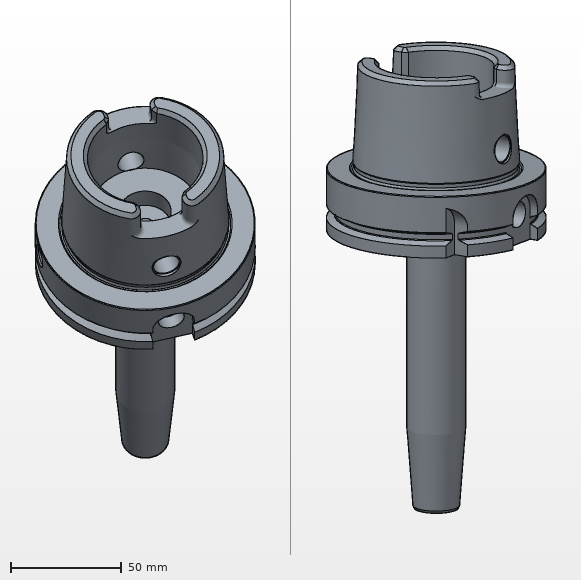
import cadquery as cq
import math


shank_height = 50.0
taper_per_side = 1 / 20
shank_base_radius = 38.0
relief_top = 3.0
relief_radius = 37.4
relief_depth = 0.6
relief_outer_radius = 39.5
shank_top_radius = shank_base_radius - taper_per_side * (shank_height - relief_top)

flange_radius = 50.0
flange_height = 29.0
flange_edge = 0.5
groove_radius = 46.0
groove_top = -17.0
groove_bottom = -23.3
groove_side_rise = 1.5
groove_corner = 0.5

neck_fillet = 10.0
stem_radius = 13.5
nose_top = -122.2
nose_radius = 10.7
nose_chamfer_width = 0.6
nose_chamfer_height = 1.3
overall_length = 210
stem_end = shank_height - overall_length

bore_radius = 26.2
bore_floor_radius = 25.0
bore_straight_depth = 20.5
bore_floor = 8.8
socket_radius = 11.8
socket_depth = 10.5
coolant_radius = 4.2
drill_half_angle = 59

slot_half_width = 10.0
shallow_slot_depth = 9.9
deep_slot_depth = 14.7
slot_floor_fillet = 1.9
key_corner_fillet = 4.2
key_edge = 1.9

cross_hole_radius = 6.0
cross_mouth_radius = 6.7
cross_mouth_floor = 36.3
cross_hole_height = 14.5

rim_slot_radius = 9.9
rim_slot_center = -15.1
rim_slot_floor = 45.0
rim_hole_radius = 6.0
rim_hole_depth = 6.3
notch_floor = 31.7
notch_center_y = 41.4

chip_radius = 4.6
chip_mouth_radius = 5.5
chip_height = -7.1
chip_floor = 45.3


def cone_height(radius):
    """Height of a drill point of the given radius."""
    return radius / math.tan(math.radians(drill_half_angle))


def make_body():
    """Shank, flange and stem as one turned solid."""
    neck_center_radius = stem_radius + neck_fillet
    neck_bottom = -flange_height - neck_fillet
    neck_mid = neck_fillet * math.sqrt(0.5)
    profile = (
        cq.Workplane("XZ")
        .moveTo(0, shank_height)
        .lineTo(shank_top_radius, shank_height)
        .lineTo(shank_base_radius, relief_top)
        .lineTo(relief_radius, relief_top - relief_depth)
        .lineTo(relief_radius, relief_depth)
        .lineTo(relief_radius + relief_depth, -relief_depth)
        .lineTo(relief_outer_radius - relief_depth, -relief_depth)
        .lineTo(relief_outer_radius, 0)
        .lineTo(flange_radius - flange_edge, 0)
        .lineTo(flange_radius, -flange_edge)
        .lineTo(flange_radius, groove_top)
        .lineTo(groove_radius + groove_corner, groove_top - groove_side_rise)
        .lineTo(groove_radius, groove_top - groove_side_rise - groove_corner)
        .lineTo(groove_radius, groove_bottom + groove_side_rise + groove_corner)
        .lineTo(groove_radius + groove_corner, groove_bottom + groove_side_rise)
        .lineTo(flange_radius, groove_bottom)
        .lineTo(flange_radius, -flange_height)
        .lineTo(neck_center_radius, -flange_height)
        .threePointArc(
            (neck_center_radius - neck_mid, neck_bottom + neck_mid),
            (stem_radius, neck_bottom),
        )
        .lineTo(stem_radius, nose_top)
        .lineTo(nose_radius, stem_end + nose_chamfer_height)
        .lineTo(nose_radius - nose_chamfer_width, stem_end)
        .lineTo(0, stem_end)
        .close()
    )
    return profile.revolve(360, (0, 0), (0, 1))


def make_cavity():
    """Bore that narrows to its floor, with a round socket and a drill point below."""
    socket_floor = bore_floor - socket_depth
    profile = (
        cq.Workplane("XZ")
        .moveTo(0, shank_height)
        .lineTo(bore_radius, shank_height)
        .lineTo(bore_radius, shank_height - bore_straight_depth)
        .lineTo(bore_floor_radius, bore_floor)
        .lineTo(socket_radius, bore_floor)
        .lineTo(socket_radius, socket_floor)
        .lineTo(coolant_radius, socket_floor)
        .lineTo(0, socket_floor - cone_height(coolant_radius))
        .close()
    )
    return profile.revolve(360, (0, 0), (0, 1))


def make_drive_slot(side, depth):
    """Square slot through one shank wall; side is -1 or 1 along X."""
    slot = cq.Workplane("XY", origin=(side * flange_radius / 2, 0, shank_height - depth))
    return slot.box(flange_radius, 2 * slot_half_width, depth, centered=(True, True, False))


def make_cross_holes():
    """Hole through both shank walls, counterbored outside, that leaves the cavity floor whole."""
    start = cq.Workplane("YZ", origin=(-flange_radius, 0, cross_hole_height))
    hole = start.circle(cross_hole_radius).extrude(2 * flange_radius)
    mouth = start.circle(cross_mouth_radius).extrude(flange_radius - cross_mouth_floor)
    floor_plug = cq.Workplane("XY", origin=(0, 0, bore_floor)).circle(bore_floor_radius)
    return (
        hole.union(mouth)
        .union(mouth.mirror("YZ"))
        .cut(floor_plug.extrude(-cross_hole_radius))
    )


def make_rim_slot(side, floor, center_y):
    """Round-topped slot that opens downward, cut from outside to a flat floor across X."""
    length = flange_radius - floor
    start = floor if side > 0 else -flange_radius
    return (
        cq.Workplane("YZ", origin=(start, 0, 0))
        .moveTo(center_y - rim_slot_radius, -flange_height)
        .lineTo(center_y - rim_slot_radius, rim_slot_center)
        .threePointArc(
            (center_y, rim_slot_center + rim_slot_radius),
            (center_y + rim_slot_radius, rim_slot_center),
        )
        .lineTo(center_y + rim_slot_radius, -flange_height)
        .close()
        .extrude(length)
    )


def make_rim_hole(side):
    """Drilled hole in the floor of a drive slot in the rim; side is -1 or 1 along X."""
    hole_floor = rim_slot_floor - rim_hole_depth
    profile = (
        cq.Workplane("XY", origin=(0, 0, rim_slot_center))
        .moveTo(side * rim_slot_floor, 0)
        .lineTo(side * rim_slot_floor, rim_hole_radius)
        .lineTo(side * hole_floor, rim_hole_radius)
        .lineTo(side * (hole_floor - cone_height(rim_hole_radius)), 0)
        .close()
    )
    return profile.revolve(360, (0, 0), (1, 0))


def make_chip_pocket():
    """Flat-bottomed round pocket with a slightly wider mouth."""
    pocket = cq.Workplane("XZ", origin=(0, -chip_floor, chip_height)).circle(chip_radius)
    mouth_width = chip_mouth_radius - chip_radius
    mouth = cq.Solid.makeCone(
        chip_mouth_radius,
        chip_radius,
        mouth_width,
        pnt=cq.Vector(0, -flange_radius, chip_height),
        dir=cq.Vector(0, 1, 0),
    )
    return pocket.extrude(flange_radius - chip_floor).union(cq.Workplane(mouth))


result = make_body().cut(make_cavity())

for side, depth in ((-1, shallow_slot_depth), (1, deep_slot_depth)):
    result = result.cut(make_drive_slot(side, depth))

result = result.edges("%HYPERBOLA").fillet(key_corner_fillet)

tolerance = 0.2

key_rims = result.faces(">Z").edges().vals()
upright_corners = [
    edge
    for edge in result.edges("|Z").vals()
    if math.isclose(abs(edge.Center().y), slot_half_width, abs_tol=tolerance)
]
result = result.newObject(key_rims + upright_corners).chamfer(key_edge)

floor_zone = cq.selectors.BoxSelector(
    (-flange_radius, -flange_radius, shank_height - deep_slot_depth - tolerance),
    (flange_radius, flange_radius, shank_height - shallow_slot_depth + tolerance),
)
result = result.edges("#Z and %LINE").edges(floor_zone).fillet(slot_floor_fillet)

result = result.cut(make_cross_holes())
for side in (-1, 1):
    result = result.cut(make_rim_slot(side, rim_slot_floor, 0)).cut(make_rim_hole(side))
result = result.cut(make_rim_slot(-1, notch_floor, notch_center_y))
result = result.cut(make_chip_pocket())